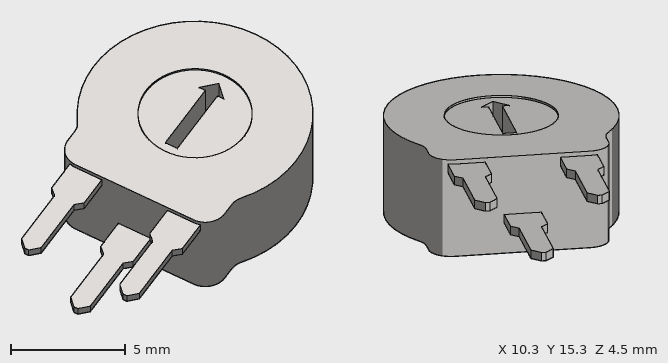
import cadquery as cq
import math

body_radius = 10.3 / 2
body_height = 4.5
foot_half_width = 4.0
corner_radius = 1.0
neck_radius = 1.0
foot_y = -body_radius

rotor_radius = 2.5
recess_depth = 0.09
arrow_half_length = 2.02
arrow_head_length = 0.63
arrow_head_half_width = 0.63
arrow_shaft_half_width = 0.3

pin_pitch = 2.5
pin_thickness = 0.4
pin_top_gap = 0.2
pin_row_drop = 2.5
pin_half_width = 1.65 / 2
pin_narrow_half_width = 1.0 / 2
pin_tip_half_width = 0.2 / 2
pin_shoulder_length = 1.5
pin_taper_length = 0.3
pin_root_depth = 0.3
pin_tip_length = pin_narrow_half_width - pin_tip_half_width
pin_end_y = body_radius - 15.3


def make_housing():
    """Round housing that blends into a flat-faced foot."""
    neck_x = foot_half_width + neck_radius
    center_distance = body_radius + neck_radius
    neck_y = -math.sqrt(center_distance**2 - neck_x**2)
    wall_x = neck_x * body_radius / center_distance
    wall_y = neck_y * body_radius / center_distance
    neck_angle = math.atan2(-neck_y, -neck_x)
    middle_angle = (neck_angle + math.pi) / 2
    middle_x = neck_x + neck_radius * math.cos(middle_angle)
    middle_y = neck_y + neck_radius * math.sin(middle_angle)

    flat_x = foot_half_width - corner_radius
    corner_y = foot_y + corner_radius
    diagonal = corner_radius * math.sqrt(0.5)
    corner_x = flat_x + diagonal
    corner_middle_y = corner_y - diagonal

    return (
        cq.Workplane("XY")
        .moveTo(-wall_x, wall_y)
        .threePointArc((0, body_radius), (wall_x, wall_y))
        .threePointArc((middle_x, middle_y), (foot_half_width, neck_y))
        .lineTo(foot_half_width, corner_y)
        .threePointArc((corner_x, corner_middle_y), (flat_x, foot_y))
        .lineTo(-flat_x, foot_y)
        .threePointArc((-corner_x, corner_middle_y), (-foot_half_width, corner_y))
        .lineTo(-foot_half_width, neck_y)
        .threePointArc((-middle_x, middle_y), (-wall_x, wall_y))
        .close()
        .extrude(body_height)
    )


def make_recess():
    """Shallow disc removed from the top face."""
    return (
        cq.Workplane("XY", origin=(0, 0, body_height - recess_depth))
        .circle(rotor_radius)
        .extrude(recess_depth)
    )


def symmetric_plate(right_side, thickness):
    """Extrude an outline given by its right-hand points, mirrored about X = 0."""
    left_side = [(-x, y) for x, y in reversed(right_side) if x > 0]
    return cq.Workplane("XY").polyline(right_side + left_side).close().extrude(thickness)


def make_arrow():
    """Arrow pointing to +Y, cut through the full height."""
    head_y = arrow_half_length - arrow_head_length
    right_side = [
        (0, arrow_half_length),
        (arrow_head_half_width, head_y),
        (arrow_shaft_half_width, head_y),
        (arrow_shaft_half_width, -arrow_half_length),
    ]
    return symmetric_plate(right_side, body_height)


def make_pin(x, z):
    """Flat stepped terminal with a pointed end; z is its underside."""
    shoulder_y = foot_y - pin_shoulder_length
    right_side = [
        (pin_half_width, foot_y + pin_root_depth),
        (pin_half_width, shoulder_y),
        (pin_narrow_half_width, shoulder_y - pin_taper_length),
        (pin_narrow_half_width, pin_end_y + pin_tip_length),
        (pin_tip_half_width, pin_end_y),
    ]
    return symmetric_plate(right_side, pin_thickness).translate((x, 0, z))


result = make_housing().cut(make_recess()).cut(make_arrow())
upper_pin_z = body_height - pin_top_gap - pin_thickness
for position in (-1, 0, 1):
    pin_z = upper_pin_z if position else upper_pin_z - pin_row_drop
    result = result.union(make_pin(position * pin_pitch, pin_z))